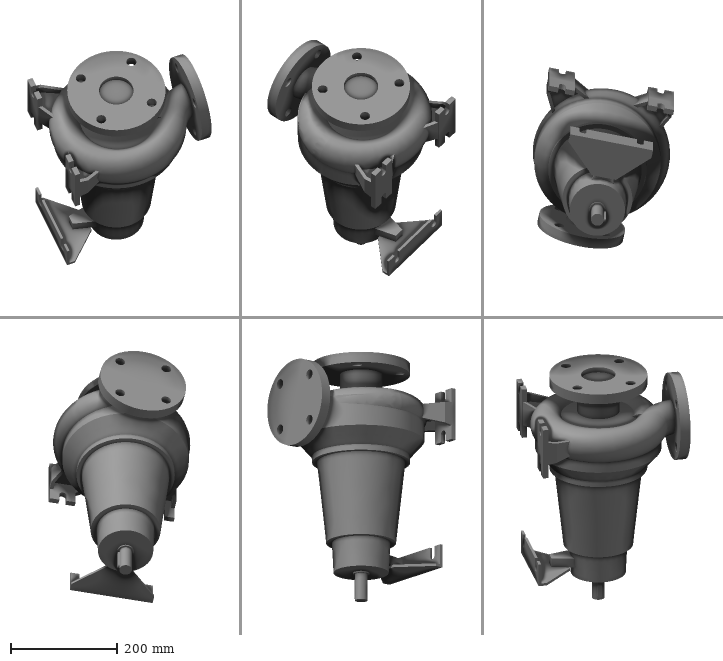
import cadquery as cq
import math


flange_thickness = 20.0
bolt_hole_diameter = 19.0
suction_face_z = 100.0
suction_flange_diameter = 185.0
suction_bolt_circle = 145.0
suction_neck_diameter = 80.0
suction_bore_diameter = 65.0
suction_bore_depth = 10.0
discharge_face_y = 160.0
discharge_flange_diameter = 165.0
discharge_bolt_circle = 125.0

tube_radius = 65.0 / 2
main_arc_center_x = 7.5
main_arc_radius = 97.0
start_arc_center_x = -2.0
start_arc_radius = start_arc_center_x - (main_arc_center_x - main_arc_radius)
start_arc_sweep = 120
start_tube_radius = 29.0

cover_top_z = 25.5
cover_edge_z = 18.5
cover_radius = 83.0
casing_top_z = 10.0
casing_radius = 119.0
casing_bottom_z = -49.5
ring_radius = suction_flange_diameter / 2
ring_top_z = -80.0
ring_bottom_z = -91.0
housing_top_radius = 83.3
housing_bottom_radius = 66.0
housing_bottom_z = -248.5
bearing_top_radius = 55.0
bearing_bottom_radius = 52.0
bearing_bottom_z = -306.5

collar_radius = 15.5
collar_bottom_z = -309.0
shaft_radius = 12.0
shaft_end_z = suction_face_z - 460
key_width = 8.0
key_top_z = -314.0
key_bottom_z = -355.0
key_outer_x = 15.5

mount_face_y = -132.0
foot_outer_x = 120.0
foot_width = 49.5
foot_half_height = 49.5
foot_thickness = 10.0
foot_slot_x = 94.8
slot_width = 14.0
foot_slot_depth = 21.5
outer_web_thickness = 7.0
inner_web_thickness = 8.0
web_kink_y = -106.0
outer_web_end = (95.0, -55.0)
inner_web_end = (34.5, -102.0)
web_base_half_height = 24.5
web_tip_half_height = 11.5
floor_thickness = 7.5

bracket_half_width = 79.5
bracket_top_z = -245.5
bracket_bottom_z = -290.0
bracket_thickness = 5.0
bracket_slot_x = 55.0
bracket_slot_depth = 24.5
base_straight_y = -116.5
base_inner_y = -60.0
base_inner_half_width = 23.0
arm_top_z = -267.0
arm_root_y = -37.0
arm_root_half_width = 24.5
arm_tip_y = -92.5
arm_tip_half_width = 9.5


def cylinder(radius, bottom_z, top_z):
    return cq.Workplane("XY").workplane(offset=bottom_z).circle(radius).extrude(top_z - bottom_z)


def plan_plate(points, bottom_z, top_z):
    """Flat plate with the given outline in X and Y."""
    return cq.Workplane("XY").workplane(offset=bottom_z).polyline(points).close().extrude(top_z - bottom_z)


def bolt_holes(face, bolt_circle):
    """Four through-hole cutters at 45 degrees to the axes, running inward from the flange face."""
    pitch = bolt_circle / math.sqrt(2)
    centers = face.rect(pitch, pitch, forConstruction=True).vertices()
    return centers.circle(bolt_hole_diameter / 2).extrude(-flange_thickness)


def tube_bend(center, bend_radius, start_angle, sweep):
    """Tube bent around a vertical line through center, counterclockwise from start_angle (degrees)."""
    return (
        cq.Workplane("XZ")
        .center(bend_radius, 0)
        .circle(tube_radius)
        .revolve(sweep, (-bend_radius, 0, 0), (-bend_radius, 1, 0))
        .rotate((0, 0, 0), (0, 0, 1), start_angle)
        .translate((center[0], center[1], 0))
    )


def tapered_start():
    """Start of the volute: tube that widens along its arc until it meets the main arc on the -X side."""
    tip_angle = 180 - start_arc_sweep
    middle_angle = 180 - start_arc_sweep / 2

    def outward(angle):
        return cq.Vector(math.cos(math.radians(angle)), math.sin(math.radians(angle)), 0)

    def center_at(angle):
        return cq.Vector(start_arc_center_x, 0, 0) + outward(angle) * start_arc_radius

    def section(angle, radius):
        plane = cq.Plane(center_at(angle), outward(angle), outward(angle + 90))
        return cq.Workplane(plane).circle(radius).wires().val()

    path = cq.Edge.makeThreePointArc(center_at(180), center_at(middle_angle), center_at(tip_angle))
    sections = [section(180, tube_radius), section(tip_angle, start_tube_radius)]
    return (
        cq.Workplane("XY")
        .newObject(sections)
        .toPending()
        .sweep(cq.Workplane("XY").newObject([path]), multisection=True)
    )


def make_volute():
    outlet_radius = (main_arc_center_x**2 + discharge_face_y**2 - main_arc_radius**2) / (
        2 * (main_arc_radius + main_arc_center_x)
    )
    joint_angle = math.degrees(math.atan2(discharge_face_y, outlet_radius - main_arc_center_x))
    main_arc = tube_bend((main_arc_center_x, 0), main_arc_radius, 180, 180 + joint_angle)
    outlet_arc = tube_bend((outlet_radius, discharge_face_y), outlet_radius, 180, joint_angle)
    return main_arc.union(outlet_arc).union(tapered_start())


def make_body():
    """Casing, bearing housing and shaft as one turned shape."""
    profile = [
        (0, cover_top_z),
        (suction_neck_diameter / 2, cover_top_z),
        (cover_radius, cover_edge_z),
        (cover_radius, casing_top_z),
        (casing_radius, casing_top_z),
        (casing_radius, casing_bottom_z),
        (ring_radius, ring_top_z),
        (ring_radius, ring_bottom_z),
        (housing_top_radius, ring_bottom_z),
        (housing_bottom_radius, housing_bottom_z),
        (bearing_top_radius, housing_bottom_z),
        (bearing_bottom_radius, bearing_bottom_z),
        (collar_radius, bearing_bottom_z),
        (collar_radius, collar_bottom_z),
        (shaft_radius, collar_bottom_z),
        (shaft_radius, shaft_end_z),
        (0, shaft_end_z),
    ]
    return cq.Workplane("XZ").polyline(profile).close().revolve(360, (0, 0, 0), (0, 1, 0))


def make_key():
    """Round-ended key on the +X side of the shaft."""
    return (
        cq.Workplane("YZ")
        .center(0, (key_top_z + key_bottom_z) / 2)
        .slot2D(key_top_z - key_bottom_z, key_width, 90)
        .extrude(key_outer_x)
    )


def make_suction_nozzle():
    back_z = suction_face_z - flange_thickness
    flange = cylinder(suction_flange_diameter / 2, back_z, suction_face_z)
    neck = cylinder(suction_neck_diameter / 2, 0, back_z)
    bore = cylinder(suction_bore_diameter / 2, suction_face_z - suction_bore_depth, suction_face_z)
    holes = bolt_holes(cq.Workplane("XY").workplane(offset=suction_face_z), suction_bolt_circle)
    return flange.union(neck).cut(bore).cut(holes)


def make_discharge_flange():
    face = cq.Workplane(cq.Plane((0, discharge_face_y, 0), xDir=(1, 0, 0), normal=(0, 1, 0)))
    flange = face.circle(discharge_flange_diameter / 2).extrude(-flange_thickness)
    return flange.cut(bolt_holes(face, discharge_bolt_circle))


def mounting_plate(left_x, right_x, thickness, bottom_z, top_z):
    """Upright rectangular plate standing behind the mounting face."""
    back_y = mount_face_y + thickness
    corners = [(left_x, mount_face_y), (right_x, mount_face_y), (right_x, back_y), (left_x, back_y)]
    return plan_plate(corners, bottom_z, top_z)


def slot_cutter(x, open_z, depth, direction):
    """Round-ended slot through a mounting plate, running from its edge at open_z up (1) or down (-1)."""
    radius = slot_width / 2
    center_z = open_z + direction * (depth - radius)
    return (
        cq.Workplane("XZ", origin=(0, mount_face_y, 0))
        .moveTo(x - radius, open_z)
        .lineTo(x - radius, center_z)
        .threePointArc((x, open_z + direction * depth), (x + radius, center_z))
        .lineTo(x + radius, open_z)
        .close()
        .extrude(-foot_thickness)
    )


def make_foot():
    """Foot on the +X side: slotted plate joined to the volute by two tapered webs and a floor."""
    foot_inner_x = foot_outer_x - foot_width
    plate_back_y = mount_face_y + foot_thickness
    plate = mounting_plate(foot_inner_x, foot_outer_x, foot_thickness, -foot_half_height, foot_half_height)
    for direction in (1, -1):
        plate = plate.cut(slot_cutter(foot_slot_x, -direction * foot_half_height, foot_slot_depth, direction))

    outer_web = [
        (foot_outer_x, plate_back_y),
        (foot_outer_x, web_kink_y),
        outer_web_end,
        (outer_web_end[0] - outer_web_thickness, outer_web_end[1]),
        (foot_outer_x - outer_web_thickness, web_kink_y),
        (foot_outer_x - outer_web_thickness, plate_back_y),
    ]
    inner_web = [
        (foot_inner_x, plate_back_y),
        inner_web_end,
        (inner_web_end[0], inner_web_end[1] - inner_web_thickness),
        (foot_inner_x, plate_back_y - inner_web_thickness),
    ]
    webs = plan_plate(outer_web, -foot_half_height, foot_half_height).union(
        plan_plate(inner_web, -foot_half_height, foot_half_height)
    )
    web_sides = (
        cq.Workplane("YZ")
        .polyline(
            [
                (mount_face_y, -web_base_half_height),
                (outer_web_end[1], -web_tip_half_height),
                (outer_web_end[1], web_tip_half_height),
                (mount_face_y, web_base_half_height),
            ]
        )
        .close()
        .extrude(foot_outer_x)
    )
    floor = plan_plate(
        [
            (foot_inner_x, plate_back_y),
            (foot_outer_x, plate_back_y),
            (foot_outer_x, web_kink_y),
            outer_web_end,
            inner_web_end,
        ],
        -floor_thickness / 2,
        floor_thickness / 2,
    )
    return plate.union(webs.intersect(web_sides)).union(floor)


def make_bracket():
    """Slotted upright plate on a tapered base, held by a tapered arm on the bearing housing."""
    base_top_z = bracket_bottom_z + bracket_thickness
    upright = mounting_plate(
        -bracket_half_width, bracket_half_width, bracket_thickness, bracket_bottom_z, bracket_top_z
    )
    for x in (-bracket_slot_x, bracket_slot_x):
        upright = upright.cut(slot_cutter(x, bracket_top_z, bracket_slot_depth, -1))
    base = plan_plate(
        [
            (-bracket_half_width, mount_face_y),
            (bracket_half_width, mount_face_y),
            (bracket_half_width, base_straight_y),
            (base_inner_half_width, base_inner_y),
            (-base_inner_half_width, base_inner_y),
            (-bracket_half_width, base_straight_y),
        ],
        bracket_bottom_z,
        base_top_z,
    )
    arm = plan_plate(
        [
            (-arm_tip_half_width, arm_tip_y),
            (arm_tip_half_width, arm_tip_y),
            (arm_root_half_width, arm_root_y),
            (-arm_root_half_width, arm_root_y),
        ],
        base_top_z,
        arm_top_z,
    )
    return upright.union(base).union(arm)


foot = make_foot()
result = (
    make_body()
    .union(make_volute())
    .union(make_suction_nozzle())
    .union(make_discharge_flange())
    .union(make_key())
    .union(foot)
    .union(foot.mirror("YZ"))
    .union(make_bracket())
)